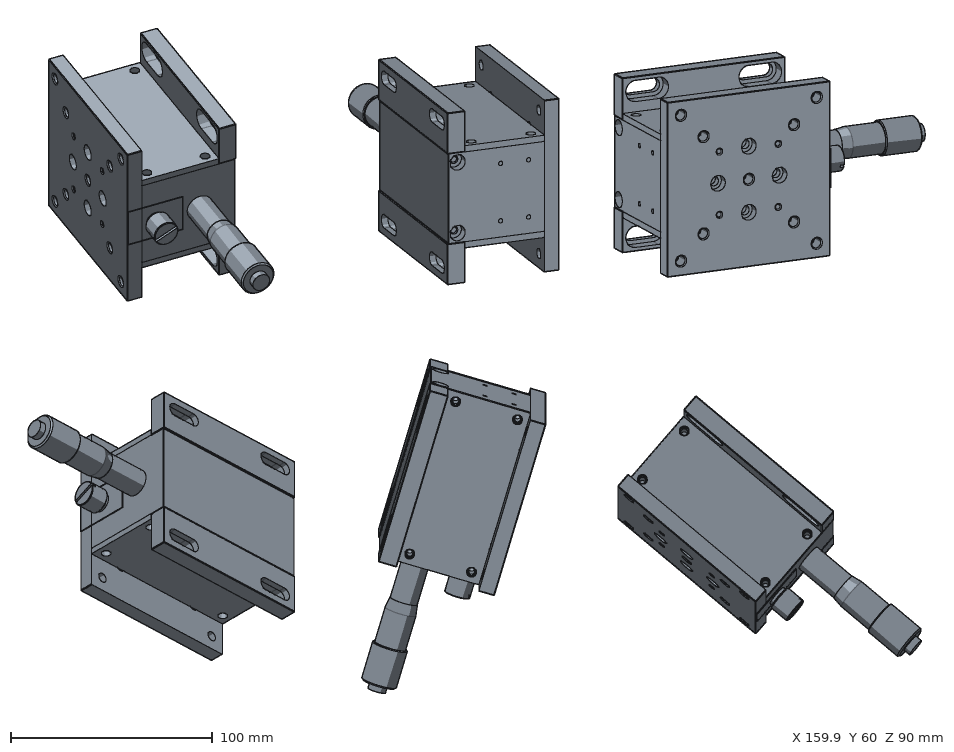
import cadquery as cq
import math

STAGE = 90.0
DEPTH = 60.0
EDGE_CHAMFER = 0.4
DRILL_TIP_ANGLE = 118.0

TABLE_THICKNESS = 8.0
RAIL_THICKNESS = 9.5
BLOCK_HEIGHT = 47.0
BLOCK_REAR_RELIEF = 0.5
SIDE_PLATE_THICKNESS = 3.25

HALF = STAGE / 2
FRONT_Y = -DEPTH / 2
REAR_Y = DEPTH / 2
TABLE_BACK_Y = FRONT_Y + TABLE_THICKNESS
RAIL_FRONT_Y = REAR_Y - RAIL_THICKNESS
BLOCK_REAR_Y = REAR_Y - BLOCK_REAR_RELIEF
BLOCK_HALF = BLOCK_HEIGHT / 2
SIDE_PLATE_TOP = BLOCK_HALF + SIDE_PLATE_THICKNESS

HOLE_PITCH = 25.0
OUTER_HOLE_OFFSET = 1.5 * HOLE_PITCH
M6_DRILL = 5.0
M6_RIM = 6.2
SMALL_HOLE_OFFSET = 16.25
SMALL_DRILL = 2.5
SMALL_RIM = 3.6
TABLE_SCREW_RADIUS = 17.0
TABLE_SCREW_CLEARANCE = 4.8
TABLE_SCREW_HEAD = 8.0
TABLE_SCREW_HEAD_DEPTH = 4.5

SLOT_OUTER_WIDTH = 11.0
SLOT_INNER_WIDTH = 7.0
SLOT_COUNTERBORE_DEPTH = 6.0

SIDE_SCREW_X = 40.0
SIDE_SCREW_OFFSET_Y = 16.0
SIDE_SCREW_CLEARANCE = 4.8
TAP_DRILL = 3.2
TAP_RIM = 4.2
TAP_DEPTH = 9.0

END_SCREW_Y = 24.5
END_SCREW_Z = 18.5
END_HEAD_DIAMETER = 8.0
END_HEAD_DEPTH = 5.0
PIN_HOLE_DIAMETER = 2.2
PIN_HOLE_DEPTH = 5.0
PIN_HOLE_YS = (1.5, -13.5)
PIN_HOLE_Z = 15.0

LOCK_Y = -14.5
LOCK_PLATE_LENGTH = 30.0
LOCK_PLATE_HEIGHT = 20.0
LOCK_PLATE_THICKNESS = 0.5
LOCK_SHANK_RADIUS = 2.5
LOCK_SHANK_END_X = 12.0
LOCK_COLLAR_RADIUS = 5.2
LOCK_COLLAR_LENGTH = 1.5
LOCK_NECK_RADIUS = 4.8
LOCK_NECK_LENGTH = 0.6
LOCK_HEAD_RADIUS = 6.5
LOCK_HEAD_LENGTH = 10.0
LOCK_HEAD_CHAMFER = 0.4
LOCK_SLOT_WIDTH = 1.4
LOCK_SLOT_DEPTH = 2.2
LOCK_SLOT_ANGLE = 23.5

MICROMETER_Y = 10.0
SLEEVE_RADIUS = 7.0
SLEEVE_END_X = 67.9
CONE_START_RADIUS = 7.15
CONE_END_X = 73.4
THIMBLE_RADIUS = 8.0
GRIP_START_X = 91.4
GRIP_RADIUS = 9.0
GRIP_FRONT_CHAMFER = 0.5
GRIP_END_X = 111.5
GRIP_END_CHAMFER = 0.8
CAP_RADIUS = 4.6
CAP_END_X = 114.95


def box_between(x_range, y_range, z_range):
    """Box from its lower and upper limits on each axis."""
    sizes = [high - low for low, high in (x_range, y_range, z_range)]
    corner = (x_range[0], y_range[0], z_range[0])
    return cq.Workplane("XY").box(*sizes, centered=False).translate(corner)


def cylinder(point, direction, diameter, length):
    """Solid rod that starts at a point and runs along a direction."""
    return cq.Solid.makeCylinder(diameter / 2, length, cq.Vector(*point), cq.Vector(*direction))


def rim_cone(point, direction, rim_diameter, drill_diameter):
    """45 degree countersink at the mouth of a hole."""
    rim = rim_diameter / 2
    drill = drill_diameter / 2
    return cq.Solid.makeCone(rim, drill, rim - drill, cq.Vector(*point), cq.Vector(*direction))


def tapped_hole(body, point, direction, drill, rim, depth):
    """Cut a countersunk blind hole with a conical drill tip."""
    tip_height = drill / 2 / math.tan(math.radians(DRILL_TIP_ANGLE / 2))
    start = cq.Vector(*point)
    axis = cq.Vector(*direction)
    tip = cq.Solid.makeCone(drill / 2, 0, tip_height, start + axis * depth, axis)
    body = body.cut(cylinder(point, direction, drill, depth))
    return body.cut(rim_cone(point, direction, rim, drill)).cut(tip)


def turned(profile, axis_y):
    """Revolve an (X, radius) profile about the X-parallel axis at Y = axis_y, Z = 0."""
    section = cq.Workplane("XZ", origin=(0, axis_y, 0)).polyline(profile).close()
    return section.revolve(360, (0, 0, 0), (1, 0, 0))


def four_corners(x, z):
    """Corner points of a rectangle centred on the origin, from its half sizes."""
    return [(sx * x, sz * z) for sx in (-1, 1) for sz in (-1, 1)]


TABLE_SCREW_POINTS = [
    (TABLE_SCREW_RADIUS, 0), (-TABLE_SCREW_RADIUS, 0),
    (0, TABLE_SCREW_RADIUS), (0, -TABLE_SCREW_RADIUS),
]
SIDE_PLATE_MIDDLE_Y = (TABLE_BACK_Y + RAIL_FRONT_Y) / 2
SIDE_SCREW_POINTS = [(x, SIDE_PLATE_MIDDLE_Y + y) for x, y in four_corners(SIDE_SCREW_X, SIDE_SCREW_OFFSET_Y)]


def make_table():
    inward = (0, 1, 0)
    table = box_between((-HALF, HALF), (FRONT_Y, TABLE_BACK_Y), (-HALF, HALF))
    table = table.edges("|Y or <Y").chamfer(EDGE_CHAMFER)
    m6_points = four_corners(OUTER_HOLE_OFFSET, OUTER_HOLE_OFFSET)
    m6_points += four_corners(HOLE_PITCH, HOLE_PITCH) + [(0, 0)]
    small_points = four_corners(SMALL_HOLE_OFFSET, SMALL_HOLE_OFFSET)
    for points, drill, rim in ((m6_points, M6_DRILL, M6_RIM), (small_points, SMALL_DRILL, SMALL_RIM)):
        for x, z in points:
            mouth = (x, FRONT_Y, z)
            table = table.cut(cylinder(mouth, inward, drill, TABLE_THICKNESS))
            table = table.cut(rim_cone(mouth, inward, rim, drill))
    for x, z in TABLE_SCREW_POINTS:
        mouth = (x, FRONT_Y, z)
        table = table.cut(cylinder(mouth, inward, TABLE_SCREW_CLEARANCE, TABLE_THICKNESS))
        table = table.cut(cylinder(mouth, inward, TABLE_SCREW_HEAD, TABLE_SCREW_HEAD_DEPTH))
    return table


def make_block():
    block = box_between((-HALF, HALF), (TABLE_BACK_Y, BLOCK_REAR_Y), (-BLOCK_HALF, BLOCK_HALF))
    block = block.faces(">Y").chamfer(EDGE_CHAMFER)

    for side in (-1, 1):
        for x, y in SIDE_SCREW_POINTS:
            mouth = (x, y, side * BLOCK_HALF)
            block = tapped_hole(block, mouth, (0, 0, -side), TAP_DRILL, TAP_RIM, TAP_DEPTH)

    inward = (1, 0, 0)
    for z in (-END_SCREW_Z, END_SCREW_Z):
        block = block.cut(cylinder((-HALF, END_SCREW_Y, z), inward, END_HEAD_DIAMETER, END_HEAD_DEPTH))
        seat = (-HALF + END_HEAD_DEPTH, END_SCREW_Y, z)
        block = tapped_hole(block, seat, inward, TAP_DRILL, TAP_RIM, TAP_DEPTH)
    for y in PIN_HOLE_YS:
        for z in (-PIN_HOLE_Z, PIN_HOLE_Z):
            block = block.cut(cylinder((-HALF, y, z), inward, PIN_HOLE_DIAMETER, PIN_HOLE_DEPTH))

    bore_length = HALF - LOCK_SHANK_END_X
    block = block.cut(cylinder((LOCK_SHANK_END_X, LOCK_Y, 0), inward, 2 * LOCK_SHANK_RADIUS, bore_length))
    access = (TABLE_SCREW_RADIUS, TABLE_BACK_Y, 0)
    return block.cut(cylinder(access, (0, 1, 0), TABLE_SCREW_CLEARANCE, LOCK_Y - TABLE_BACK_Y))


def make_side_plate(side):
    z_range = sorted((side * BLOCK_HALF, side * SIDE_PLATE_TOP))
    plate = box_between((-HALF, HALF), (TABLE_BACK_Y, RAIL_FRONT_Y), z_range)
    for x, y in SIDE_SCREW_POINTS:
        mouth = (x, y, side * SIDE_PLATE_TOP)
        plate = plate.cut(cylinder(mouth, (0, 0, -side), SIDE_SCREW_CLEARANCE, SIDE_PLATE_THICKNESS))
    return plate


def make_slot(center_x, center_z, width, depth):
    """Slot cutter that runs along X and goes from the rail front toward +Y."""
    length = OUTER_HOLE_OFFSET - HOLE_PITCH + width
    plane = cq.Workplane("XZ", origin=(center_x, RAIL_FRONT_Y, center_z))
    return plane.slot2D(length, width).extrude(-depth)


def make_rail(side):
    z_range = sorted((side * BLOCK_HALF, side * HALF))
    rail = box_between((-HALF, HALF), (RAIL_FRONT_Y, REAR_Y), z_range).edges().chamfer(EDGE_CHAMFER)
    slot_x = (HOLE_PITCH + OUTER_HOLE_OFFSET) / 2
    slot_z = side * OUTER_HOLE_OFFSET
    for x in (-slot_x, slot_x):
        rail = rail.cut(make_slot(x, slot_z, SLOT_INNER_WIDTH, RAIL_THICKNESS))
        rail = rail.cut(make_slot(x, slot_z, SLOT_OUTER_WIDTH, SLOT_COUNTERBORE_DEPTH))
    return rail


LOCK_PLATE_X = HALF + LOCK_PLATE_THICKNESS
LOCK_COLLAR_X = LOCK_PLATE_X + LOCK_COLLAR_LENGTH
LOCK_HEAD_START_X = LOCK_COLLAR_X + LOCK_NECK_LENGTH
LOCK_HEAD_END_X = LOCK_HEAD_START_X + LOCK_HEAD_LENGTH


def make_lock_plate():
    y_range = (LOCK_Y - LOCK_PLATE_LENGTH / 2, LOCK_Y + LOCK_PLATE_LENGTH / 2)
    z_range = (-LOCK_PLATE_HEIGHT / 2, LOCK_PLATE_HEIGHT / 2)
    plate = box_between((HALF, LOCK_PLATE_X), y_range, z_range)
    return plate.cut(cylinder((HALF, LOCK_Y, 0), (1, 0, 0), 2 * LOCK_SHANK_RADIUS, LOCK_PLATE_THICKNESS))


def make_lock_screw():
    screw = turned([
        (LOCK_SHANK_END_X, 0),
        (LOCK_SHANK_END_X, LOCK_SHANK_RADIUS),
        (LOCK_PLATE_X, LOCK_SHANK_RADIUS),
        (LOCK_PLATE_X, LOCK_COLLAR_RADIUS),
        (LOCK_COLLAR_X, LOCK_COLLAR_RADIUS),
        (LOCK_COLLAR_X, LOCK_NECK_RADIUS),
        (LOCK_HEAD_START_X, LOCK_NECK_RADIUS),
        (LOCK_HEAD_START_X, LOCK_HEAD_RADIUS),
        (LOCK_HEAD_END_X - LOCK_HEAD_CHAMFER, LOCK_HEAD_RADIUS),
        (LOCK_HEAD_END_X, LOCK_HEAD_RADIUS - LOCK_HEAD_CHAMFER),
        (LOCK_HEAD_END_X, 0),
    ], LOCK_Y)
    slot = box_between(
        (LOCK_HEAD_END_X - LOCK_SLOT_DEPTH, LOCK_HEAD_END_X),
        (-LOCK_HEAD_RADIUS, LOCK_HEAD_RADIUS),
        (-LOCK_SLOT_WIDTH / 2, LOCK_SLOT_WIDTH / 2))
    slot = slot.rotate((0, 0, 0), (1, 0, 0), LOCK_SLOT_ANGLE).translate((0, LOCK_Y, 0))
    return screw.cut(slot)


def make_sleeve():
    return cq.Workplane(cylinder((HALF, MICROMETER_Y, 0), (1, 0, 0), 2 * SLEEVE_RADIUS, SLEEVE_END_X - HALF))


def make_thimble():
    return turned([
        (SLEEVE_END_X, 0),
        (SLEEVE_END_X, CONE_START_RADIUS),
        (CONE_END_X, THIMBLE_RADIUS),
        (GRIP_START_X, THIMBLE_RADIUS),
        (GRIP_START_X, GRIP_RADIUS - GRIP_FRONT_CHAMFER),
        (GRIP_START_X + GRIP_FRONT_CHAMFER, GRIP_RADIUS),
        (GRIP_END_X - GRIP_END_CHAMFER, GRIP_RADIUS),
        (GRIP_END_X, GRIP_RADIUS - GRIP_END_CHAMFER),
        (GRIP_END_X, CAP_RADIUS),
        (CAP_END_X, CAP_RADIUS),
        (CAP_END_X, 0),
    ], MICROMETER_Y)


table = make_table()
block = make_block()
side_plates = [make_side_plate(side) for side in (-1, 1)]
rails = [make_rail(side) for side in (-1, 1)]
lock_plate = make_lock_plate()
lock_screw = make_lock_screw()
sleeve = make_sleeve()
thimble = make_thimble()

bodies = [table, block, *side_plates, *rails, lock_plate, lock_screw, sleeve, thimble]
result = cq.Compound.makeCompound([body.solids().val() for body in bodies])